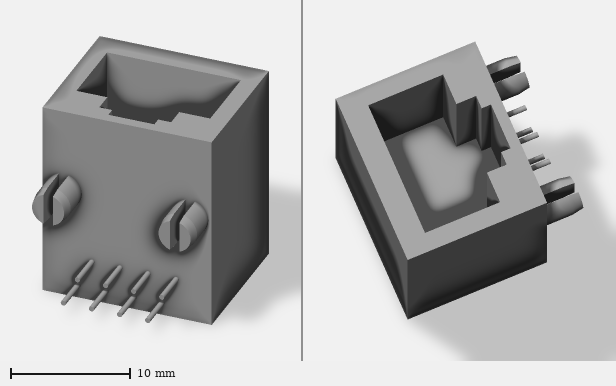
import cadquery as cq


body_width = 15.3
body_depth = 12.7
body_height = 17.74

rear_wall = 2.27
cavity_depth = 12.7
plug_width = 12.1
plug_front_y = 3.6
latch_width = 6.5
latch_front_y = 1.8
tongue_width = 4.15
tongue_front_y = 0.95
cavity_back_y = body_depth - rear_wall

pin_pitch = 1.27
pin_count = 8
pin_diameter = 0.46
pin_length = 3.25
lower_row_z = 1.2
row_spacing = 2 * pin_pitch
upper_row_z = lower_row_z + row_spacing

peg_diameter = 3.25
peg_tip_diameter = 2.9
peg_length = 3.5
peg_tip_length = 1.0
peg_slot_width = 0.86
peg_spacing = 11.43
peg_above_upper_row = 6.35
peg_z = upper_row_z + peg_above_upper_row

embed = 0.5


def make_body():
    """Plain block, centred on X."""
    return cq.Workplane("XY").box(body_width, body_depth, body_height, centered=(True, False, False))


def make_cavity():
    """Stepped, left-right symmetric plug opening."""
    half_profile = [
        (0, cavity_back_y),
        (plug_width / 2, cavity_back_y),
        (plug_width / 2, plug_front_y),
        (latch_width / 2, plug_front_y),
        (latch_width / 2, latch_front_y),
        (tongue_width / 2, latch_front_y),
        (tongue_width / 2, tongue_front_y),
        (0, tongue_front_y),
    ]
    return (
        cq.Workplane("XY", origin=(0, 0, body_height))
        .polyline(half_profile)
        .mirrorY()
        .extrude(-cavity_depth)
    )


def make_pin(x, z):
    """Round pin through the mounting face."""
    return (
        cq.Workplane("XZ", origin=(x, embed, z))
        .circle(pin_diameter / 2)
        .extrude(embed + pin_length)
    )


def make_peg(x):
    """Revolved peg with a tapered tip, split by a vertical slot down to the mounting face."""
    shoulder_y = peg_tip_length - peg_length
    half_section = [
        (0, embed),
        (peg_diameter / 2, embed),
        (peg_diameter / 2, shoulder_y),
        (peg_tip_diameter / 2, -peg_length),
        (0, -peg_length),
    ]
    peg = cq.Workplane("XY").polyline(half_section).close().revolve(360, (0, 0), (0, 1))
    slot = (
        cq.Workplane("XY", origin=(0, -peg_length / 2, 0))
        .box(peg_slot_width, peg_length, peg_diameter)
    )
    return peg.cut(slot).translate((x, 0, peg_z))


result = make_body().cut(make_cavity())

for side in (-1, 1):
    result = result.union(make_peg(side * peg_spacing / 2))

for i in range(pin_count):
    pin_x = (i - (pin_count - 1) / 2) * pin_pitch
    pin_z = lower_row_z if i % 2 == 0 else upper_row_z
    result = result.union(make_pin(pin_x, pin_z))